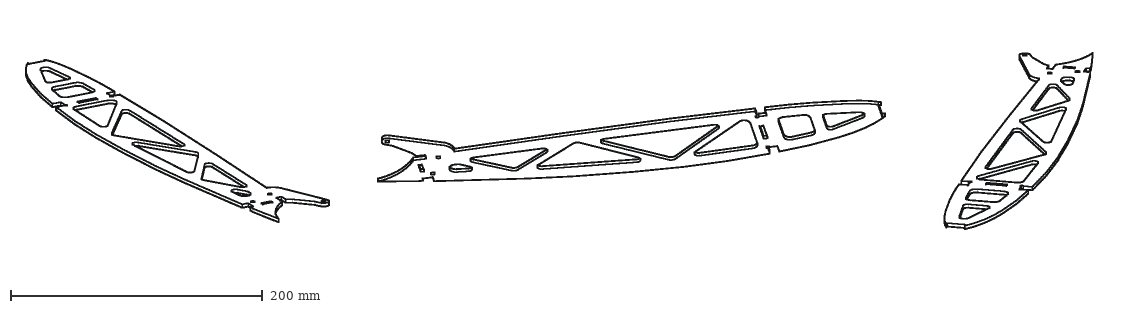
import cadquery as cq
import math

LENGTH = 412.0
THICKNESS = 3.0

NOSE_DEPTH = 2.5
NOSE_BOTTOM = 34.5
NOSE_TOP = 50.0

FRONT_NOTCH_LEFT = 92.0
FRONT_NOTCH_RIGHT = 99.5
UPPER_NOTCH_FLOOR = 54.5
LOWER_NOTCH_FLOOR = 12.5
RELIEF_RADIUS = 1.2
BACK_EDGE_Y = 61.8

TAIL_NOTCH_LEFT = 368.0
TAIL_NOTCH_RIGHT = 376.5
TAIL_NOTCH_FLOOR = 26.5
TAIL_SLIT_BOTTOM = 52.0
TAIL_SLIT_TOP = 57.0
TAIL_TIP = (LENGTH, 29.5)
TAIL_LOWER_Y = 23.5

FIN_END = (393.7, 80.7)
FIN_END_RADIUS = 4.5
FIN_TOP_ANGLE = 114
FIN_BOTTOM_ANGLE = -60

TIGHT_RADIUS = 3.5
WIDE_RADIUS = 5.0
NARROW_TIP_RADIUS = 4.0

PIN_RADIUS = 1.5
PIN_CENTRES = [(358.5, 52.0), (367.0, 31.5), FIN_END]

WINDOWS = [
    [(3.0, 42.0, NARROW_TIP_RADIUS), (48.5, 24.0, TIGHT_RADIUS), (48.5, 47.5, TIGHT_RADIUS)],
    [(58.5, 22.0, WIDE_RADIUS), (84.5, 17.7, WIDE_RADIUS),
     (84.5, 50.0, WIDE_RADIUS), (58.5, 49.0, WIDE_RADIUS)],
    [(106.5, 13.5, WIDE_RADIUS), (165.0, 12.0, TIGHT_RADIUS), (106.5, 57.0, WIDE_RADIUS)],
    [(125.5, 50.5, TIGHT_RADIUS), (177.0, 10.0, WIDE_RADIUS), (235.0, 49.5, TIGHT_RADIUS)],
    [(193.0, 12.8, TIGHT_RADIUS), (290.5, 20.5, TIGHT_RADIUS), (247.0, 50.2, WIDE_RADIUS)],
    [(264.0, 47.0, TIGHT_RADIUS), (302.5, 21.0, WIDE_RADIUS), (342.2, 45.7, TIGHT_RADIUS)],
    [(325.0, 27.0, TIGHT_RADIUS), (353.0, 30.0, WIDE_RADIUS),
     (353.0, 39.5, WIDE_RADIUS), (344.5, 39.5, TIGHT_RADIUS)],
]

SLOTS = [(97.0, 24.5, 100.5, 41.0), (373.0, 35.5, 376.0, 44.5)]


def polar(centre, radius, degrees):
    angle = math.radians(degrees)
    return (centre[0] + radius * math.cos(angle), centre[1] + radius * math.sin(angle))


def make_plate():
    """Extrude the outline, walked clockwise from the upper nose barb."""
    fin_middle_angle = (FIN_TOP_ANGLE + FIN_BOTTOM_ANGLE) / 2
    outline = (
        cq.Workplane("XY")
        .moveTo(0, NOSE_TOP)
        .spline([(12.0, 54.5), (33.8, 58.0), (52.5, 60.0), (FRONT_NOTCH_LEFT, BACK_EDGE_Y)], includeCurrent=True)
        .lineTo(FRONT_NOTCH_LEFT, UPPER_NOTCH_FLOOR)
        .lineTo(FRONT_NOTCH_RIGHT, UPPER_NOTCH_FLOOR)
        .lineTo(FRONT_NOTCH_RIGHT, BACK_EDGE_Y)
        .spline([(186.5, 61.8), (251.5, 60.0), (344.5, 57.0)], includeCurrent=True)
        .threePointArc((347.0, 64.0), (353.0, 67.5))
        .lineTo(*polar(FIN_END, FIN_END_RADIUS, FIN_TOP_ANGLE))
        .threePointArc(
            polar(FIN_END, FIN_END_RADIUS, fin_middle_angle),
            polar(FIN_END, FIN_END_RADIUS, FIN_BOTTOM_ANGLE),
        )
        .lineTo(391.0, 74.0)
        .lineTo(377.5, 61.5)
        .lineTo(375.0, TAIL_SLIT_TOP)
        .lineTo(TAIL_NOTCH_LEFT, TAIL_SLIT_TOP)
        .lineTo(TAIL_NOTCH_LEFT, TAIL_SLIT_BOTTOM)
        .lineTo(378.5, TAIL_SLIT_BOTTOM)
        .threePointArc((391.5, 38.5), TAIL_TIP)
        .lineTo(381.0, TAIL_LOWER_Y)
        .lineTo(TAIL_NOTCH_RIGHT, TAIL_LOWER_Y)
        .lineTo(TAIL_NOTCH_RIGHT, TAIL_NOTCH_FLOOR)
        .lineTo(TAIL_NOTCH_LEFT, TAIL_NOTCH_FLOOR)
        .lineTo(TAIL_NOTCH_LEFT, 21.0)
        .spline([(323.0, 14.0), (288.5, 8.5), (213.0, 1.5), (168.5, 0), (126.5, 1.2),
                 (FRONT_NOTCH_RIGHT, 3.7)], includeCurrent=True)
        .lineTo(FRONT_NOTCH_RIGHT, LOWER_NOTCH_FLOOR)
        .lineTo(FRONT_NOTCH_LEFT, LOWER_NOTCH_FLOOR)
        .lineTo(FRONT_NOTCH_LEFT, 5.0)
        .spline([(65.5, 8.5), (47.0, 12.8), (29.0, 18.0), (15.5, 24.0), (0, NOSE_BOTTOM)], includeCurrent=True)
        .lineTo(NOSE_DEPTH, NOSE_BOTTOM)
        .lineTo(NOSE_DEPTH, NOSE_TOP)
        .close()
    )
    return outline.extrude(THICKNESS)


def rounded_corner(before, corner, after):
    """Return the start, middle and end of the arc that rounds a corner."""
    x, y, radius = corner
    toward_before = math.atan2(before[1] - y, before[0] - x)
    toward_after = math.atan2(after[1] - y, after[0] - x)
    turn = math.remainder(toward_after - toward_before, 2 * math.pi)
    half_angle = abs(turn) / 2
    bisector = toward_before + turn / 2
    tangent_length = radius / math.tan(half_angle)
    middle_distance = radius / math.sin(half_angle) - radius
    steps = [
        (tangent_length, toward_before),
        (middle_distance, bisector),
        (tangent_length, toward_after),
    ]
    return [polar((x, y), distance, math.degrees(angle)) for distance, angle in steps]


def make_window(corners):
    count = len(corners)
    arcs = [rounded_corner(corners[i - 1], corners[i], corners[(i + 1) % count]) for i in range(count)]
    first_start, first_middle, first_end = arcs[0]
    outline = cq.Workplane("XY").moveTo(*first_start).threePointArc(first_middle, first_end)
    for start, middle, end in arcs[1:]:
        outline = outline.lineTo(*start).threePointArc(middle, end)
    return outline.close().extrude(THICKNESS)


def make_slot(left, bottom, right, top):
    block = cq.Workplane("XY").box(right - left, top - bottom, THICKNESS, centered=False)
    return block.translate((left, bottom, 0))


def make_round_holes(centres, radius):
    return cq.Workplane("XY").pushPoints(centres).circle(radius).extrude(THICKNESS)


result = make_plate()
for window in WINDOWS:
    result = result.cut(make_window(window))
for slot in SLOTS:
    result = result.cut(make_slot(*slot))

notch_corners = [(FRONT_NOTCH_RIGHT, floor) for floor in (UPPER_NOTCH_FLOOR, LOWER_NOTCH_FLOOR)]
result = result.cut(make_round_holes(notch_corners, RELIEF_RADIUS))
result = result.cut(make_round_holes(PIN_CENTRES, PIN_RADIUS))